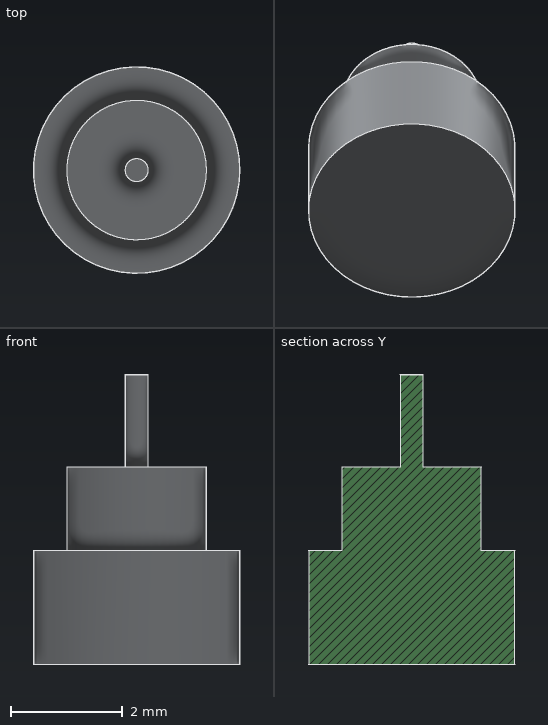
import cadquery as cq

total_height = 5.2
base_diameter = 3.7
base_height = 2.05
collar_diameter = 2.5
collar_height = 1.5
pin_diameter = 0.41

pin_height = total_height - base_height - collar_height


def add_cylinder(body, diameter, height):
    """Stack a centred cylinder on the top face of the body."""
    return body.faces(">Z").workplane().circle(diameter / 2).extrude(height)


base = cq.Workplane("XY").circle(base_diameter / 2).extrude(base_height)

base_and_collar = add_cylinder(base, collar_diameter, collar_height)

result = add_cylinder(base_and_collar, pin_diameter, pin_height)